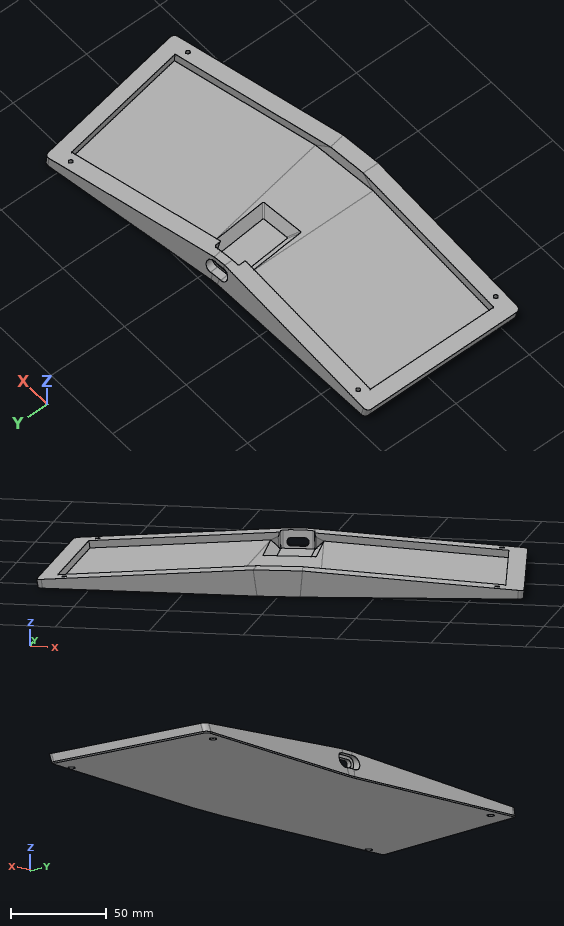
import cadquery as cq
import math

TENT_ANGLE = 5.0
SPLAY_ANGLE = 10.0
RAKE_ANGLE = 15.0
PEAK_HEIGHT = 15.49
PLATE_LENGTH = 115.75
PLATE_WIDTH = 104.81
WEDGE_LENGTH = 25.89
CORNER_RADIUS = 3.0
BOTTOM_CHAMFER = 0.7

TRAY_END = 9.8
TRAY_BORDER = 10.4
TRAY_WEDGE_DEPTH = 5.0
FLOOR_CREASE_X = 106.4

HOLE_DIAMETER = 2.4
HOLE_CENTRES = [(14.2, 5.2), (13.5, 99.6)]

WELL_WIDTH = 18.0
WELL_DEPTH = 5.0
WELL_FRONT = 63.0
WELL_BACK = 99.1
WELL_CORNER_RADIUS = 1.0
WELL_MOUTH_RADIUS = 1.0

OPENING_WIDTH = 11.5
OPENING_HEIGHT = 4.5
PLUG_WIDTH = 15.5
PLUG_HEIGHT = 8.0
PLUG_HEIGHT_CENTRE = 9.0
OPENING_WALL = 3.0

OVERCUT = 20.0

TENT = math.radians(TENT_ANGLE)
HALF_SPLAY = math.radians(SPLAY_ANGLE / 2)
UP_SLOPE = cq.Vector(math.cos(TENT), 0, math.sin(TENT))
ALONG_WEDGE = cq.Vector(math.cos(HALF_SPLAY), math.sin(HALF_SPLAY), 0)
ACROSS_WEDGE = cq.Vector(-math.sin(HALF_SPLAY), math.cos(HALF_SPLAY), 0)
WEDGE_MIDDLE = cq.Vector(PLATE_LENGTH, 0, 0) + ALONG_WEDGE * (WEDGE_LENGTH / 2)
WALL_FALL = cq.Vector(math.tan(TENT), math.tan(math.radians(RAKE_ANGLE)), -1)

OUTER_END_HEIGHT = PEAK_HEIGHT - PLATE_LENGTH * math.tan(TENT)
SLOPE_LENGTH = PLATE_LENGTH / math.cos(TENT)
FLOOR_HEIGHT = PEAK_HEIGHT - TRAY_WEDGE_DEPTH
TRAY_PLATE_DEPTH = OUTER_END_HEIGHT + FLOOR_CREASE_X * math.tan(TENT) - FLOOR_HEIGHT
TRAY_FALL = WALL_FALL * (TRAY_PLATE_DEPTH * math.cos(TENT) ** 2)
TRAY_BACK = PLATE_WIDTH - TRAY_BORDER
WELL_FLOOR = FLOOR_HEIGHT - WELL_DEPTH


def plate_top():
    """Workplane on the sloping top, with x up the slope and y toward the back."""
    normal = UP_SLOPE.cross(cq.Vector(0, 1, 0))
    return cq.Workplane(cq.Plane((0, 0, OUTER_END_HEIGHT), UP_SLOPE, normal))


def prism(wire, path):
    return cq.Workplane(cq.Solid.extrudeLinear(wire, [], path))


def plate():
    outline = (
        plate_top()
        .moveTo(SLOPE_LENGTH, 0)
        .lineTo(CORNER_RADIUS, 0)
        .radiusArc((0, CORNER_RADIUS), CORNER_RADIUS)
        .lineTo(0, PLATE_WIDTH - CORNER_RADIUS)
        .radiusArc((CORNER_RADIUS, PLATE_WIDTH), CORNER_RADIUS)
        .lineTo(SLOPE_LENGTH, PLATE_WIDTH)
        .close()
    )
    return prism(outline.val(), WALL_FALL * (PEAK_HEIGHT + OVERCUT))


def wedge():
    """Sweep of the plate's inner end wall, running past the middle plane."""
    fall = WALL_FALL * (PEAK_HEIGHT + OVERCUT)
    front = cq.Vector(PLATE_LENGTH, 0, PEAK_HEIGHT)
    back = cq.Vector(PLATE_LENGTH, PLATE_WIDTH, PEAK_HEIGHT)
    section = cq.Wire.makePolygon([front, back, back + fall, front + fall], close=True)
    return prism(section, ALONG_WEDGE * WEDGE_LENGTH)


def tray():
    """Sloping tray in the plate and flat tray in the wedge, sharing one slanted section."""
    top_front = cq.Vector(PLATE_LENGTH, TRAY_BORDER, PEAK_HEIGHT)
    top_back = cq.Vector(PLATE_LENGTH, TRAY_BACK, PEAK_HEIGHT)
    floor_front = cq.Vector(FLOOR_CREASE_X, TRAY_BORDER + TRAY_FALL.y, FLOOR_HEIGHT)
    floor_back = cq.Vector(FLOOR_CREASE_X, TRAY_BACK + TRAY_FALL.y, FLOOR_HEIGHT)
    section = cq.Wire.makePolygon([top_front, top_back, floor_back, floor_front], close=True)
    tray_start = TRAY_END / math.cos(TENT)
    outline = plate_top().moveTo(tray_start, TRAY_BORDER).rect(
        SLOPE_LENGTH, TRAY_BACK - TRAY_BORDER, centered=False
    )
    sloping = prism(section, UP_SLOPE * -SLOPE_LENGTH).intersect(prism(outline.val(), TRAY_FALL))
    return sloping.union(prism(section, ALONG_WEDGE * WEDGE_LENGTH))


def left_half():
    """Body left of the middle plane and above the base."""
    size = 3 * PLATE_LENGTH
    base = cq.Plane(WEDGE_MIDDLE, ALONG_WEDGE, (0, 0, 1))
    keep = cq.Workplane(base).box(size, size, size, centered=False).translate(ALONG_WEDGE * -size)
    keep = keep.translate(ACROSS_WEDGE * (-size / 2))
    body = plate().union(wedge()).cut(tray()).intersect(keep)
    holes = cq.Workplane("XY").pushPoints(HOLE_CENTRES).circle(HOLE_DIAMETER / 2).extrude(PEAK_HEIGHT)
    return body.cut(holes)


def rim_wall_line():
    """Top point of the tray's back wall in the wedge, and the path from it down to the base."""
    top = cq.Vector(PLATE_LENGTH, TRAY_BACK, PEAK_HEIGHT)
    floor = cq.Vector(FLOOR_CREASE_X, TRAY_BACK + TRAY_FALL.y, FLOOR_HEIGHT)
    return top, (floor - top) * (PEAK_HEIGHT / TRAY_WEDGE_DEPTH)


def rim():
    """Material behind the tray's back wall, carried on down past the tray floor."""
    top, path = rim_wall_line()
    behind = ACROSS_WEDGE * OVERCUT
    section = cq.Wire.makePolygon([top, top + path, top + path + behind, top + behind], close=True)
    length = 2 * WELL_WIDTH
    return prism(section, ALONG_WEDGE * (2 * length)).translate(ALONG_WEDGE * (WEDGE_LENGTH / 2 - length))


def well():
    """Well with a sloped front and sides, running on into the rim with upright walls."""
    half = WELL_WIDTH / 2
    top_half = half + WELL_DEPTH
    slope_length = WELL_BACK - WELL_FRONT
    floor = cq.Plane(WEDGE_MIDDLE + cq.Vector(0, 0, WELL_FLOOR), ALONG_WEDGE, (0, 0, 1))
    sloped = (
        cq.Workplane(floor)
        .moveTo(-half, WELL_FRONT)
        .rect(WELL_WIDTH, slope_length, centered=False)
        .workplane(offset=WELL_DEPTH)
        .moveTo(-top_half, WELL_FRONT - WELL_DEPTH)
        .rect(2 * top_half, slope_length + WELL_DEPTH, centered=False)
        .loft(ruled=True)
        .edges("not (#Z or |Z)")
        .fillet(WELL_CORNER_RADIUS)
    )
    upright = (
        cq.Workplane(floor)
        .moveTo(-half, WELL_FRONT)
        .rect(WELL_WIDTH, WELL_BACK - WELL_FRONT, centered=False)
        .extrude(PEAK_HEIGHT)
        .edges("|Z")
        .fillet(WELL_CORNER_RADIUS)
    )
    return sloped.cut(rim()).union(upright)


def well_mouth():
    """Rounds the corners where the upright well sides meet the back wall of the tray."""
    half = WELL_WIDTH / 2
    radius = WELL_MOUTH_RADIUS
    top, path = rim_wall_line()
    wall = (top - WEDGE_MIDDLE).dot(ACROSS_WEDGE)
    fall = ACROSS_WEDGE * path.dot(ACROSS_WEDGE) + cq.Vector(0, 0, path.z)
    profile = (
        cq.Workplane(cq.Plane(WEDGE_MIDDLE + cq.Vector(0, 0, PEAK_HEIGHT), ALONG_WEDGE, (0, 0, 1)))
        .moveTo(-half - radius, wall)
        .radiusArc((-half, wall + radius), -radius)
        .lineTo(half, wall + radius)
        .radiusArc((half + radius, wall), -radius)
        .close()
    )
    return prism(profile.val(), fall * ((PEAK_HEIGHT - WELL_FLOOR) / PEAK_HEIGHT))


def rounded_slot(width, height, start):
    """Horizontal slot through the back wall, starting at a distance back from the wedge front."""
    origin = WEDGE_MIDDLE + ACROSS_WEDGE * start + cq.Vector(0, 0, PLUG_HEIGHT_CENTRE)
    face = cq.Workplane(cq.Plane(origin, ALONG_WEDGE * -1, ACROSS_WEDGE))
    return face.slot2D(width, height).extrude(OVERCUT)


half_body = left_half()
body = half_body.union(half_body.mirror(ALONG_WEDGE, WEDGE_MIDDLE)).clean()
body = body.faces("<Z").edges().chamfer(BOTTOM_CHAMFER)
body = body.cut(well())
body = body.cut(well_mouth())
body = body.cut(rounded_slot(OPENING_WIDTH, OPENING_HEIGHT, WELL_BACK - OPENING_WALL))
body = body.cut(rounded_slot(PLUG_WIDTH, PLUG_HEIGHT, WELL_BACK + OPENING_WALL))
result = body